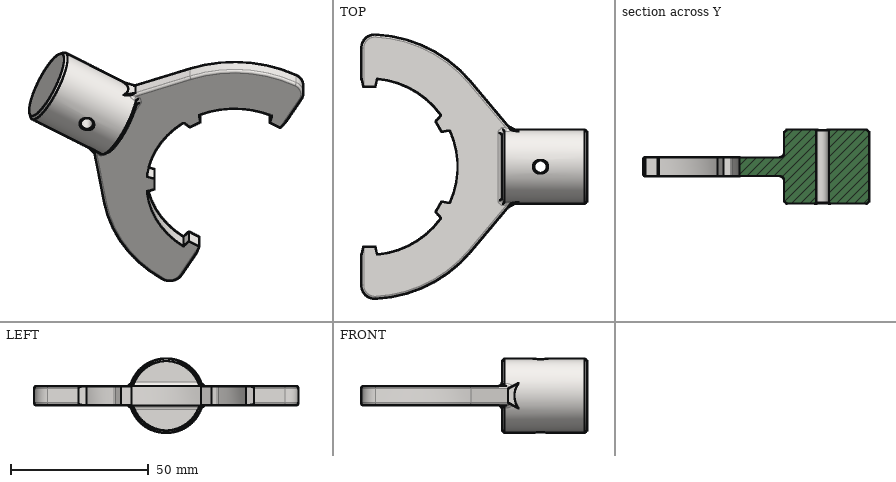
import cadquery as cq
import math

overall_length = 82.0
jaw_overhang = 3.0
plate_thickness = 7.0
overall_width = 95.9
mouth_radius = 31.9
flank_angle = 50.0
jaw_corner_radius = 5.0
edge_radius = 1.0

tooth_tip_radius = 29.0
tip_width = 4.4
end_tooth_base_width = 5.8
inner_tooth_base_width = 6.4
inner_tooth_angle = 30.0
tooth_root_fillet = 0.5

hub_diameter = 27.0
hub_length = 31.0
hub_edge_chamfer = 1.0
plate_embedding = 11.5
neck_inset = 2.9
joint_radius = 1.4
gusset_length = 3.8
gusset_start_x = 50.2
gusset_end_height = 9.2
pin_diameter = 4.5
pin_mouth_diameter = 5.5
pin_from_hub_end = 17.0

TOLERANCE = 0.01

jaw_x = -jaw_overhang
corner_centre_y = overall_width / 2 - jaw_corner_radius
outer_radius = jaw_corner_radius + math.hypot(jaw_x + jaw_corner_radius, corner_centre_y)
hub_end_x = overall_length - jaw_overhang
hub_start_x = hub_end_x - hub_length
hub_radius = hub_diameter / 2
flank = math.radians(flank_angle)
half_neck = hub_radius - neck_inset


def circle_point(radius, angle):
    return (radius * math.sin(angle), radius * math.cos(angle))


def flank_x(y):
    """X on the straight line tangent to the outer arc at the flank angle."""
    return (outer_radius - y * math.cos(flank)) / math.sin(flank)


def flank_y(x):
    return (outer_radius - x * math.sin(flank)) / math.cos(flank)


def mirrored(point):
    return (point[0], -point[1])


def make_plate():
    """Crescent blank with rounded jaw corners and softened outer edges."""
    jaw_y = math.sqrt(outer_radius**2 - jaw_x**2)
    jaw_corner = (jaw_x, jaw_y)
    flank_start = circle_point(outer_radius, flank)
    arc_middle = circle_point(outer_radius, flank / 2)
    neck = (flank_x(half_neck), half_neck)
    back_x = hub_start_x + plate_embedding
    blank = (
        cq.Workplane("XY")
        .moveTo(*mirrored(jaw_corner))
        .lineTo(*jaw_corner)
        .threePointArc(arc_middle, flank_start)
        .lineTo(*neck)
        .lineTo(back_x, half_neck)
        .lineTo(back_x, -half_neck)
        .lineTo(*mirrored(neck))
        .lineTo(*mirrored(flank_start))
        .threePointArc(mirrored(arc_middle), mirrored(jaw_corner))
        .close()
        .extrude(plate_thickness / 2, both=True)
    )
    blank = blank.edges("|Z and <X").fillet(jaw_corner_radius)
    return blank.faces("<Z or >Z").edges("not >X").fillet(edge_radius)


def make_tooth(angle, base_width):
    """Tapered tooth pointing at the mouth centre from the given direction."""
    flare = (base_width - tip_width) / 2
    root_radius = outer_radius - jaw_corner_radius
    flare_growth = (root_radius - tooth_tip_radius) / (mouth_radius - tooth_tip_radius)
    root_half_width = tip_width / 2 + flare * flare_growth
    return (
        cq.Workplane("XY")
        .polyline([
            (tooth_tip_radius, -tip_width / 2),
            (tooth_tip_radius, tip_width / 2),
            (root_radius, root_half_width),
            (root_radius, -root_half_width),
        ])
        .close()
        .extrude(plate_thickness, both=True)
        .rotate((0, 0, 0), (0, 0, 1), angle)
    )


def is_inner_root(edge):
    """True for the upright edges where an inner tooth leaves the mouth wall."""
    middle = edge.Center()
    radius = math.hypot(middle.x, middle.y)
    angle = math.degrees(math.atan2(abs(middle.y), middle.x))
    return radius > mouth_radius - TOLERANCE and angle < 1.5 * inner_tooth_angle


def make_mouth():
    """Cutter for the round mouth, leaving the four teeth standing."""
    mouth = cq.Workplane("XY").circle(mouth_radius).extrude(plate_thickness, both=True)
    for side in (-1, 1):
        mouth = mouth.cut(make_tooth(side * 90, end_tooth_base_width))
        mouth = mouth.cut(make_tooth(side * inner_tooth_angle, inner_tooth_base_width))
    roots = [edge for edge in mouth.edges("|Z").vals() if is_inner_root(edge)]
    return mouth.newObject(roots).fillet(tooth_root_fillet)


def make_hub():
    return (
        cq.Workplane("YZ", origin=(hub_start_x, 0, 0))
        .circle(hub_radius)
        .extrude(hub_length)
    )


def is_joint_edge(edge):
    """True for the edges where the plate surface meets the hub surface."""
    box = edge.BoundingBox()
    within_plate = max(abs(box.zmin), abs(box.zmax)) < plate_thickness / 2 + TOLERANCE
    on_hub = box.xmin > hub_start_x - TOLERANCE and box.xmax < hub_start_x + plate_embedding
    return within_plate and on_hub


def is_hub_rim(edge):
    """True for the round edges around the two end faces of the hub."""
    box = edge.BoundingBox()
    at_end = min(abs(box.xmin - hub_start_x), abs(box.xmax - hub_end_x)) < TOLERANCE
    is_arc = edge.geomType() == "CIRCLE" and box.xlen < TOLERANCE
    return at_end and is_arc and abs(edge.radius() - hub_radius) < TOLERANCE


def make_gusset():
    """Web through the hub whose ends thicken from the flanks onto the hub wall."""
    start_width = 2 * flank_y(gusset_start_x)
    start_height = plate_thickness - 2 * edge_radius
    end_width = math.sqrt(hub_diameter**2 - gusset_end_height**2)
    return (
        cq.Workplane("YZ", origin=(gusset_start_x, 0, 0))
        .rect(start_width, start_height)
        .workplane(offset=gusset_length)
        .rect(end_width, gusset_end_height)
        .loft(ruled=True)
    )


def make_body():
    """Plate and hub blended together, with both hub rims chamfered and the gussets added."""
    body = make_plate().union(make_hub())
    joint = [edge for edge in body.edges().vals() if is_joint_edge(edge)]
    body = body.newObject(joint).fillet(joint_radius)
    rims = [edge for edge in body.edges().vals() if is_hub_rim(edge)]
    return body.newObject(rims).chamfer(hub_edge_chamfer).union(make_gusset())


def make_pin_hole():
    """Vertical through hole, countersunk where it leaves the hub."""
    pin_x = hub_end_x - pin_from_hub_end
    sink = (pin_mouth_diameter - pin_diameter) / 2
    hole = cq.Workplane("XY").center(pin_x, 0).circle(pin_diameter / 2).extrude(hub_radius, both=True)
    upper_sink = (
        cq.Workplane("XY", origin=(pin_x, 0, hub_radius - sink))
        .circle(pin_diameter / 2)
        .workplane(offset=sink)
        .circle(pin_mouth_diameter / 2)
        .loft()
    )
    return hole.union(upper_sink).union(upper_sink.mirror("XY"))


result = make_body().cut(make_mouth()).cut(make_pin_hole())